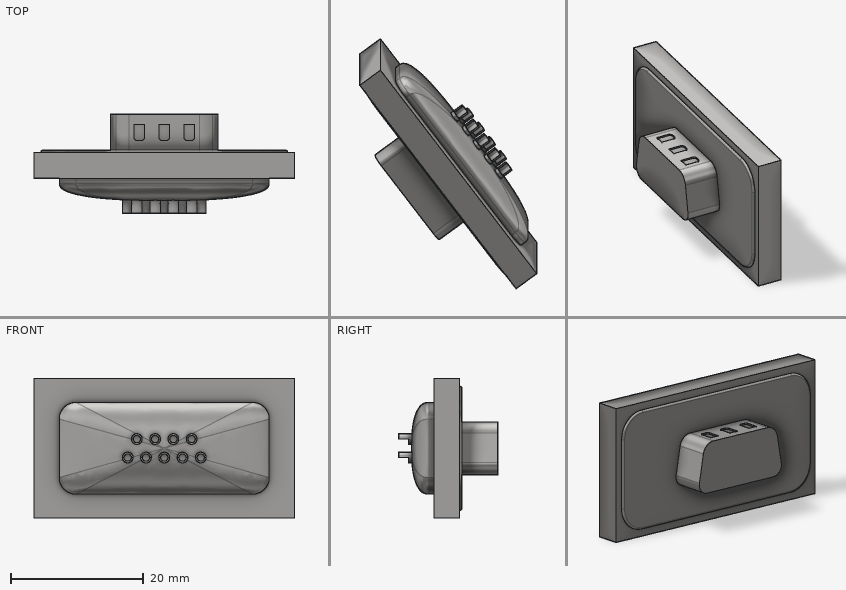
import cadquery as cq
import math


panel_width = 39.4
panel_height = 21.1
panel_thickness = 3.9

seal_width = 37.25
seal_height = 18.75
seal_corner_radius = 3.95
seal_thickness = 0.35
seal_edge_radius = 0.3

dome_width = 31.7
dome_height = 13.85
dome_corner_radius = 2.52
dome_base_depth = 0.75
dome_crown_depth = 2.65
dome_exponent = 2.4
dome_tip_scale = 0.015
dome_section_count = 9

shell_width = 16.27
shell_height = 8.0
shell_projection = 5.45
shell_slant = math.radians(10)
shell_bottom_radius = 1.58
shell_top_radius = 2.0

window_count = 3
window_pitch = 3.8
window_width = 1.55
window_length = 2.45
window_setback = 1.58
window_chamfer = 0.3
window_depth = 0.25

contact_diameter = 1.6
cup_bore_diameter = 1.1
cup_bore_depth = 1.97
contact_length = 5.3
cup_opening_length = 1.5
contact_pitch = 2.75
contact_row_spacing = 2.8
top_row_count = 4
bottom_row_count = 5

seal_face_y = panel_thickness + seal_thickness
shell_face_y = seal_face_y + shell_projection


def plane_at(y):
    """Plane at distance y along Y whose local axes are X and Z and whose normal is -Y."""
    return cq.Workplane("XZ", origin=(0, y, 0))


def centred_row(count, pitch):
    """Evenly spaced positions centred on zero."""
    return [(i - (count - 1) / 2) * pitch for i in range(count)]


contact_points = [(x, contact_row_spacing / 2) for x in centred_row(top_row_count, contact_pitch)]
contact_points += [(x, -contact_row_spacing / 2) for x in centred_row(bottom_row_count, contact_pitch)]


def make_shell_block():
    """D-shaped block from the rear face of the panel to the mating face."""
    arc_x = shell_width / 2 - shell_bottom_radius
    arc_z = -shell_height / 2 + shell_bottom_radius
    side_offset = arc_x * math.cos(shell_slant) + arc_z * math.sin(shell_slant) + shell_bottom_radius

    def half_width_at(z):
        return (side_offset - z * math.sin(shell_slant)) / math.cos(shell_slant)

    top_z = shell_height / 2
    top_x = half_width_at(top_z)
    bottom_x = half_width_at(-top_z)
    outline = [(-bottom_x, -top_z), (bottom_x, -top_z), (top_x, top_z), (-top_x, top_z)]
    block = plane_at(shell_face_y).polyline(outline).close().extrude(shell_face_y)
    block = block.edges("|Y").edges(">Z").fillet(shell_top_radius)
    return block.edges("|Y").edges("<Z").fillet(shell_bottom_radius)


def make_contact_rods():
    """Plain round rods on the contact positions, reaching back from the rear face of the panel."""
    return plane_at(0).pushPoints(contact_points).circle(contact_diameter / 2).extrude(contact_length)


def make_contacts():
    """Round contacts ending in solder cups that are open on their lower half."""
    bores = (
        plane_at(-contact_length + cup_bore_depth)
        .pushPoints(contact_points)
        .circle(cup_bore_diameter / 2)
        .extrude(cup_bore_depth)
    )
    lower_halves = [(x, z - contact_diameter / 4) for x, z in contact_points]
    openings = (
        plane_at(-contact_length + cup_opening_length)
        .pushPoints(lower_halves)
        .rect(contact_diameter, contact_diameter / 2)
        .extrude(cup_opening_length)
    )
    return make_contact_rods().cut(bores).cut(openings)


def make_windows():
    """Cutters for the windows; their corners nearest the panel are chamfered."""
    window_y = shell_face_y - window_setback - window_length / 2
    return (
        cq.Workplane("XY", origin=(0, window_y, shell_height / 2 - window_depth))
        .pushPoints([(x, 0) for x in centred_row(window_count, window_pitch)])
        .rect(window_width, window_length)
        .extrude(window_depth)
        .edges("|Z")
        .edges("<Y")
        .chamfer(window_chamfer)
    )


def make_connector():
    """Shell and contacts form one body that passes through the panel and both seals."""
    return make_shell_block().cut(make_windows()).union(make_contacts())


def make_panel():
    """Rectangular plate with a D-shaped opening for the connector."""
    blank = plane_at(panel_thickness).rect(panel_width, panel_height).extrude(panel_thickness)
    return blank.cut(make_shell_block())


def make_front_seal():
    """Round-edged pad that surrounds the connector shell."""
    pad = plane_at(seal_face_y).rect(seal_width, seal_height).extrude(seal_thickness)
    pad = pad.edges("|Y").fillet(seal_corner_radius)
    pad = pad.faces(">Y").edges().fillet(seal_edge_radius)
    return pad.cut(make_shell_block())


def make_crown():
    """Smooth loft of rounded rectangles that shrink along a superellipse towards the tip."""
    power = 2 / dome_exponent
    sections = []
    last_angle = math.acos(dome_tip_scale ** (1 / power))
    for i in range(dome_section_count):
        angle = last_angle * i / (dome_section_count - 1)
        scale = math.cos(angle) ** power
        depth = dome_crown_depth * math.sin(angle) ** power
        section = cq.Sketch().rect(dome_width * scale, dome_height * scale)
        section = section.vertices().fillet(dome_corner_radius * scale)
        sections.append(section.moved(cq.Location(cq.Vector(0, 0, depth))))
    return plane_at(-dome_base_depth).placeSketch(*sections).loft()


def make_rear_seal():
    """Domed cover that the contacts pass through."""
    base = plane_at(0).rect(dome_width, dome_height).extrude(dome_base_depth)
    base = base.edges("|Y").fillet(dome_corner_radius)
    return base.union(make_crown()).cut(make_contact_rods())


panel = make_panel()
front_seal = make_front_seal()
rear_seal = make_rear_seal()
connector = make_connector()

result = cq.Compound.makeCompound([panel.val(), front_seal.val(), rear_seal.val(), connector.val()])